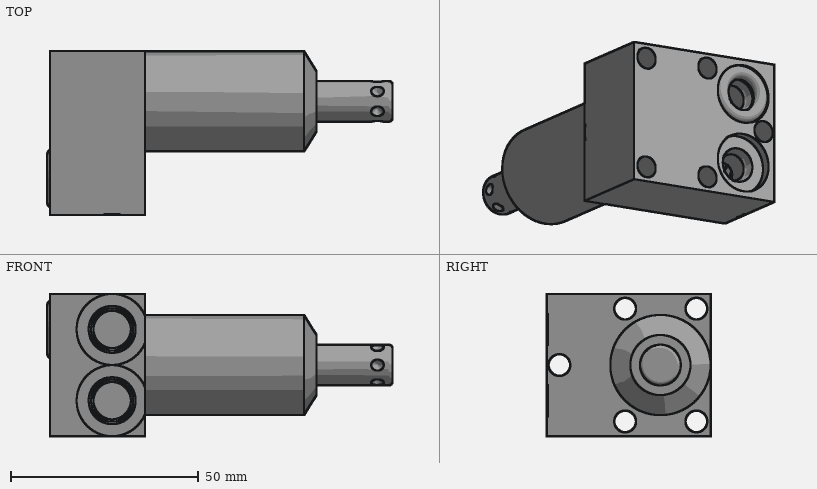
import cadquery as cq
import math

BLOCK_LENGTH = 25.4
BLOCK_WIDTH = 43.9
BLOCK_HEIGHT = 38.1

AXIS_Y = BLOCK_WIDTH - 13.5
BARREL_RADIUS = 13.4
BARREL_END_X = 67.9
NOSE_END_X = 71.25
NOSE_RADIUS = 8.0
ROD_RADIUS = 5.45
ROD_END_FILLET = 1.1

DIMPLE_COUNT = 6
DIMPLE_RADIUS = 1.5
DIMPLE_X = 87.5

PORT_HALF_PITCH = 9.5
PORT_HEIGHTS = (-PORT_HALF_PITCH, PORT_HALF_PITCH)

FRONT_PORT_X = 16.6
SPOT_WEB = 0.04
SPOT_RADIUS = PORT_HALF_PITCH - SPOT_WEB / 2
SPOT_DEPTH = 0.4
FRONT_MOUTH_RADIUS = 6.3
FRONT_THROAT_RADIUS = 5.6
FRONT_BORE_RADIUS = 5.0
FRONT_MOUTH_DEPTH = 2.8
FRONT_CONE_END = FRONT_MOUTH_DEPTH + 0.7
FRONT_PORT_DEPTH = 14.8

REAR_PORT_Y = 9.8
SEAL_RADIUS = 7.95
SEAL_SECTION_RADIUS = 1.85
SEAL_PROTRUSION = 0.8
RECESS_DEPTH = 2 * SEAL_SECTION_RADIUS - SEAL_PROTRUSION
REAR_MOUTH_RADIUS = 4.6
REAR_THROAT_RADIUS = 4.1
REAR_BORE_RADIUS = 3.6
REAR_MOUTH_DEPTH = RECESS_DEPTH + 1.9
REAR_CONE_END = REAR_MOUTH_DEPTH + 0.8
REAR_PORT_DEPTH = FRONT_PORT_X

MOUNT_HOLE_RADIUS = 2.9
MOUNT_HALF_PITCH = 15.1
MOUNT_COLUMNS_Y = (21.0, BLOCK_WIDTH - 3.9)
SINGLE_MOUNT_Y = 3.4

ROD_END_X = 92.4 - SEAL_PROTRUSION

ALONG_X = cq.Vector(1, 0, 0)
ALONG_Y = cq.Vector(0, 1, 0)


def stepped_port(start, direction, recess_radius, recess_depth, mouth_radius, throat_radius, mouth_depth,
                 bore_radius, cone_end, port_depth):
    """Cutting body of a port, with every depth measured from the block face."""
    recess = cq.Solid.makeCylinder(recess_radius, recess_depth, start, direction)
    mouth_start = start + direction * recess_depth
    mouth_length = mouth_depth - recess_depth
    mouth = cq.Solid.makeCone(mouth_radius, throat_radius, mouth_length, mouth_start, direction)
    cone_start = start + direction * mouth_depth
    cone = cq.Solid.makeCone(throat_radius, bore_radius, cone_end - mouth_depth, cone_start, direction)
    bore = cq.Solid.makeCylinder(bore_radius, port_depth, start, direction)
    return cq.Workplane(recess).union(mouth).union(cone).union(bore)


def make_block():
    return cq.Workplane().box(BLOCK_LENGTH, BLOCK_WIDTH, BLOCK_HEIGHT, centered=(False, False, True))


def make_barrel_and_rod():
    half_profile = (
        cq.Workplane("XY", origin=(0, AXIS_Y, 0))
        .moveTo(BLOCK_LENGTH, 0)
        .lineTo(BLOCK_LENGTH, BARREL_RADIUS)
        .lineTo(BARREL_END_X, BARREL_RADIUS)
        .lineTo(NOSE_END_X, NOSE_RADIUS)
        .lineTo(NOSE_END_X, ROD_RADIUS)
        .lineTo(ROD_END_X, ROD_RADIUS)
        .lineTo(ROD_END_X, 0)
        .close()
    )
    turned = half_profile.revolve(360, (0, 0, 0), (1, 0, 0))
    return turned.faces(">X").edges().fillet(ROD_END_FILLET)


def cut_rod_dimples(body):
    rim_distance = math.sqrt(ROD_RADIUS**2 - DIMPLE_RADIUS**2)
    cone_height = ROD_RADIUS - rim_distance + DIMPLE_RADIUS
    tip_distance = ROD_RADIUS - cone_height
    for index in range(DIMPLE_COUNT):
        angle = index * 2 * math.pi / DIMPLE_COUNT
        outward = cq.Vector(0, -math.cos(angle), math.sin(angle))
        tip = cq.Vector(DIMPLE_X, AXIS_Y, 0) + outward * tip_distance
        cone = cq.Solid.makeCone(0, cone_height, cone_height, tip, outward)
        body = body.cut(cq.Workplane(cone))
    return body


def cut_ports(body):
    for height in PORT_HEIGHTS:
        front_port = stepped_port(
            cq.Vector(FRONT_PORT_X, 0, height), ALONG_Y, SPOT_RADIUS, SPOT_DEPTH,
            FRONT_MOUTH_RADIUS, FRONT_THROAT_RADIUS, FRONT_MOUTH_DEPTH,
            FRONT_BORE_RADIUS, FRONT_CONE_END, FRONT_PORT_DEPTH,
        )
        rear_port = stepped_port(
            cq.Vector(0, REAR_PORT_Y, height), ALONG_X, SEAL_RADIUS, RECESS_DEPTH,
            REAR_MOUTH_RADIUS, REAR_THROAT_RADIUS, REAR_MOUTH_DEPTH,
            REAR_BORE_RADIUS, REAR_CONE_END, REAR_PORT_DEPTH,
        )
        body = body.cut(front_port).cut(rear_port)
    return body


def cut_mounting_holes(body):
    centres = [(y, z) for y in MOUNT_COLUMNS_Y for z in (-MOUNT_HALF_PITCH, MOUNT_HALF_PITCH)]
    centres.append((SINGLE_MOUNT_Y, 0))
    holes = cq.Workplane("YZ").pushPoints(centres).circle(MOUNT_HOLE_RADIUS).extrude(BLOCK_LENGTH)
    return body.cut(holes)


def make_housing():
    body = make_block().union(make_barrel_and_rod())
    body = cut_rod_dimples(body)
    body = cut_ports(body)
    return cut_mounting_holes(body)


def make_seal_ring():
    """O-ring resting on the floor of the upper rear recess and standing proud of the block."""
    centre = cq.Vector(RECESS_DEPTH - SEAL_SECTION_RADIUS, REAR_PORT_Y, PORT_HALF_PITCH)
    ring_radius = SEAL_RADIUS - SEAL_SECTION_RADIUS
    return cq.Workplane(cq.Solid.makeTorus(ring_radius, SEAL_SECTION_RADIUS, centre, ALONG_X))


housing = make_housing()
seal_ring = make_seal_ring()

result = cq.Compound.makeCompound([housing.val(), seal_ring.val()])